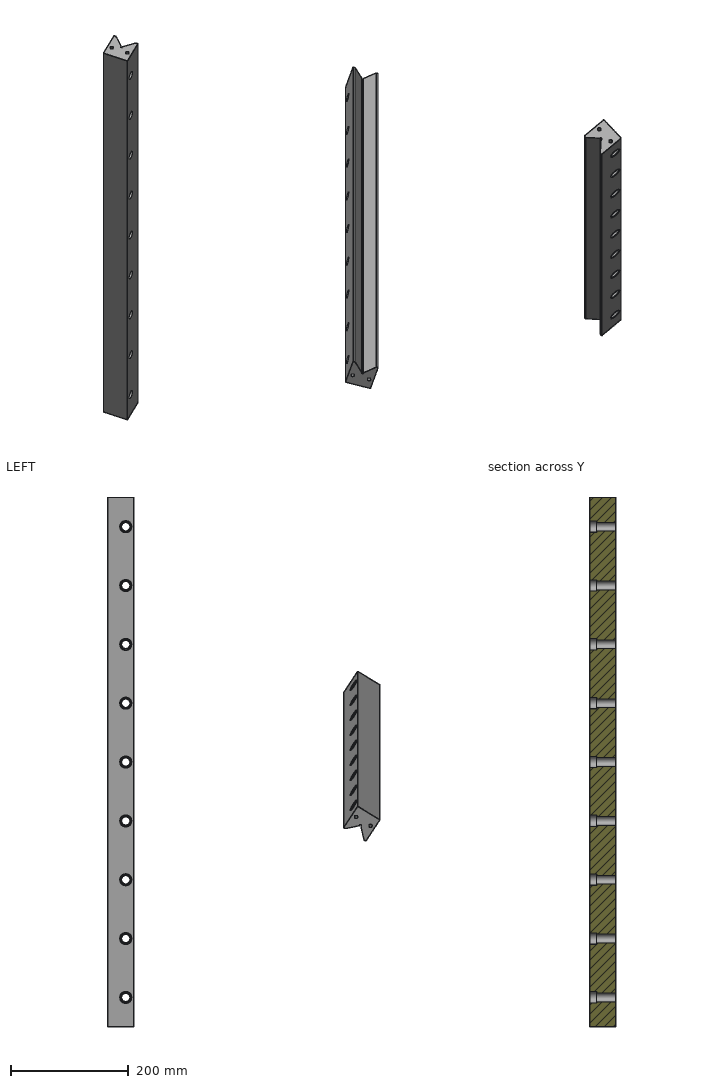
import cadquery as cq

width = 45.0
height = 45.0
length = 900.0
edge_chamfer = 0.5

land = 3.75
groove_half_width = width / 2 - land
groove_depth = groove_half_width

relief_width = 3.0
relief_depth = 1.0

hole_count = 9
hole_pitch = 100.0
first_hole_z = (length - (hole_count - 1) * hole_pitch) / 2
hole_from_back = 14.0
hole_diameter = 14.0
counterbore_diameter = 18.5
counterbore_depth = 12.0
counterbore_chamfer = 1.0

end_hole_spacing = 29.0
end_hole_from_back = 17.5
end_hole_diameter = 5.0
end_hole_depth = 15.0
end_hole_chamfer = 0.5

back_y = -height / 2
front_y = height / 2
root_y = front_y - groove_depth


def make_grooved_bar():
    """Square bar with the V groove, every edge chamfered except the groove root."""
    bar = (
        cq.Workplane("XY")
        .moveTo(-width / 2, back_y)
        .lineTo(width / 2, back_y)
        .lineTo(width / 2, front_y)
        .lineTo(groove_half_width, front_y)
        .lineTo(0, root_y)
        .lineTo(-groove_half_width, front_y)
        .lineTo(-width / 2, front_y)
        .close()
        .extrude(length)
    )
    root_edge = cq.selectors.NearestToPointSelector((0, root_y, length / 2))
    other_edges = cq.selectors.InverseSelector(root_edge)
    return bar.edges(other_edges).chamfer(edge_chamfer)


def make_relief_slot():
    """Slot reaching below the groove root over the full length."""
    slot_bottom = root_y - relief_depth
    return (
        cq.Workplane("XY")
        .center(0, (slot_bottom + front_y) / 2)
        .rect(relief_width, front_y - slot_bottom)
        .extrude(length)
    )


def make_chamfered_hole(mouth, direction, diameter, depth, chamfer):
    """Cylinder starting at the mouth point, widened there by a 45-degree cone."""
    radius = diameter / 2
    cylinder = cq.Solid.makeCylinder(radius, depth, mouth, direction)
    cone = cq.Solid.makeCone(radius + chamfer, radius, chamfer, mouth, direction)
    return cq.Workplane(cylinder).union(cq.Workplane(cone))


def make_mounting_hole(z):
    """Through hole along X with its chamfered counterbore in the -X face."""
    mouth = cq.Vector(-width / 2, back_y + hole_from_back, z)
    inward = cq.Vector(1, 0, 0)
    through = cq.Solid.makeCylinder(hole_diameter / 2, width, mouth, inward)
    counterbore = make_chamfered_hole(
        mouth, inward, counterbore_diameter, counterbore_depth, counterbore_chamfer
    )
    return counterbore.union(cq.Workplane(through))


def make_end_hole(x, end_z, inward_z):
    """Blind hole along Z, drilled inward from the end face at end_z."""
    mouth = cq.Vector(x, back_y + end_hole_from_back, end_z)
    inward = cq.Vector(0, 0, inward_z)
    return make_chamfered_hole(mouth, inward, end_hole_diameter, end_hole_depth, end_hole_chamfer)


result = make_grooved_bar().cut(make_relief_slot())

for index in range(hole_count):
    result = result.cut(make_mounting_hole(first_hole_z + index * hole_pitch))

for end_z, inward_z in ((0, 1), (length, -1)):
    for x in (-end_hole_spacing / 2, end_hole_spacing / 2):
        result = result.cut(make_end_hole(x, end_z, inward_z))